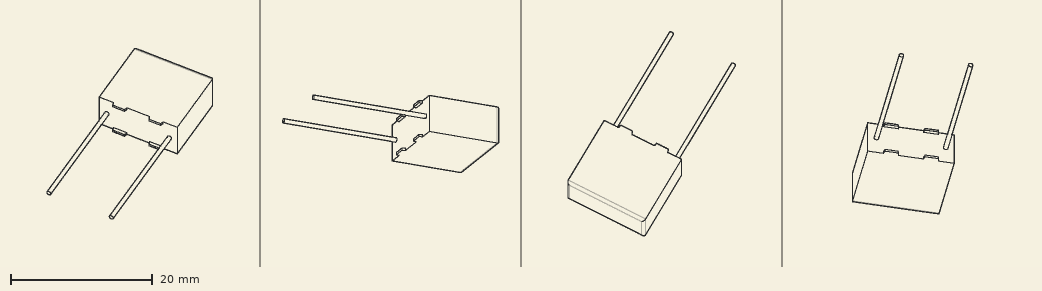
import cadquery as cq

total_length = 28.5
case_width = 12.5
case_height = 5.5
case_length = 11.0
rear_edge_radius = 0.45

lead_diameter = 0.65
lead_spacing = 10.0
lead_length = total_length - case_length

foot_spacing = 5.79
foot_base_width = 2.2
foot_tip_width = 1.88
foot_length = 0.48
foot_thickness = 0.35

half_height = case_height / 2


def make_foot(center_x, bottom_z):
    """Flat trapezoidal foot that narrows toward its tip."""
    return (
        cq.Workplane("XY", origin=(center_x, 0, bottom_z))
        .moveTo(-foot_base_width / 2, 0)
        .lineTo(foot_base_width / 2, 0)
        .lineTo(foot_tip_width / 2, -foot_length)
        .lineTo(-foot_tip_width / 2, -foot_length)
        .close()
        .extrude(foot_thickness)
    )


def make_case():
    """Box with a rounded rim at the rear and four feet at the lead side."""
    case = (
        cq.Workplane("XY")
        .box(case_width, case_length, case_height, centered=(True, False, True))
        .faces(">Y")
        .edges()
        .fillet(rear_edge_radius)
    )
    for center_x in (-foot_spacing / 2, foot_spacing / 2):
        for bottom_z in (-half_height, half_height - foot_thickness):
            case = case.union(make_foot(center_x, bottom_z))
    return case


def make_lead(center_x):
    """Straight round wire that starts on the lead side of the case."""
    return (
        cq.Workplane("XZ", origin=(center_x, 0, 0))
        .circle(lead_diameter / 2)
        .extrude(lead_length)
    )


case = make_case()
leads = [make_lead(center_x) for center_x in (-lead_spacing / 2, lead_spacing / 2)]

result = cq.Compound.makeCompound([case.val(), *[lead.val() for lead in leads]])